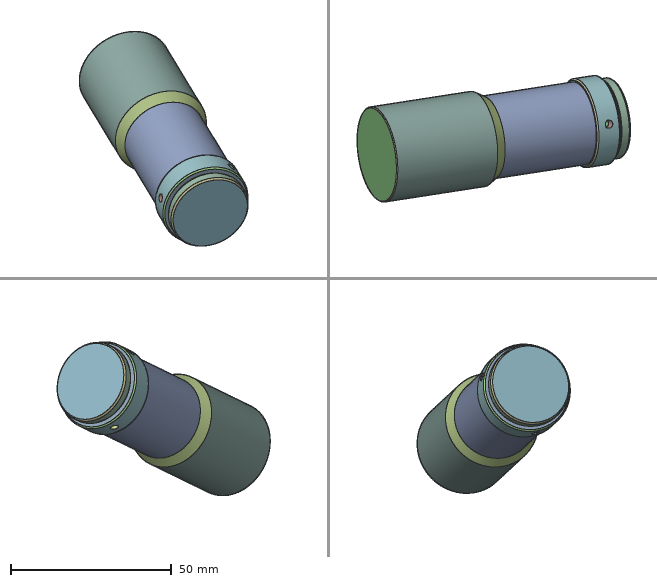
import cadquery as cq
import math

total_length = 81.2
body_end = 34.5
taper_end = 37.9
collar_start = 69.1
collar_end = 77.05
groove_end = 78.0

body_diameter = 30.0
tube_diameter = 26.1
collar_diameter = 28.0
groove_diameter = 24.2
mount_diameter = 25.4

body_chamfer = 0.3
collar_chamfer = 0.5
mount_chamfer_length = 0.65
mount_chamfer_depth = 0.5

hole_station = 73.25
hole_diameter = 2.5
hole_depth = 3.25
hole_tip_angle = 120.0
hole_count = 3
first_hole_angle = 45.5


def turned_barrel():
    """Solid of revolution about the X axis."""
    body_radius = body_diameter / 2
    tube_radius = tube_diameter / 2
    collar_radius = collar_diameter / 2
    groove_radius = groove_diameter / 2
    mount_radius = mount_diameter / 2
    outline = [
        (0, 0),
        (0, body_radius - body_chamfer),
        (body_chamfer, body_radius),
        (body_end, body_radius),
        (taper_end, tube_radius),
        (collar_start, tube_radius),
        (collar_start, collar_radius - collar_chamfer),
        (collar_start + collar_chamfer, collar_radius),
        (collar_end - collar_chamfer, collar_radius),
        (collar_end, collar_radius - collar_chamfer),
        (collar_end, groove_radius),
        (groove_end, groove_radius),
        (groove_end, mount_radius),
        (total_length - mount_chamfer_length, mount_radius),
        (total_length, mount_radius - mount_chamfer_depth),
        (total_length, 0),
    ]
    return cq.Workplane("XY").polyline(outline).close().revolve(360, (0, 0), (1, 0))


def screw_hole(angle):
    """Drilled hole with a conical tip, drilled toward the axis."""
    hole_radius = hole_diameter / 2
    tip_height = hole_radius / math.tan(math.radians(hole_tip_angle / 2))
    floor = collar_diameter / 2 - hole_depth
    mouth = collar_diameter / 2 + hole_radius
    center = hole_station
    outline = [
        (center, floor - tip_height),
        (center + hole_radius, floor),
        (center + hole_radius, mouth),
        (center, mouth),
    ]
    drill = cq.Workplane("XY").polyline(outline).close().revolve(360, (center, 0), (center, 1))
    return drill.rotate((0, 0, 0), (1, 0, 0), angle)


result = turned_barrel()
for index in range(hole_count):
    result = result.cut(screw_hole(first_hole_angle + index * 360 / hole_count))